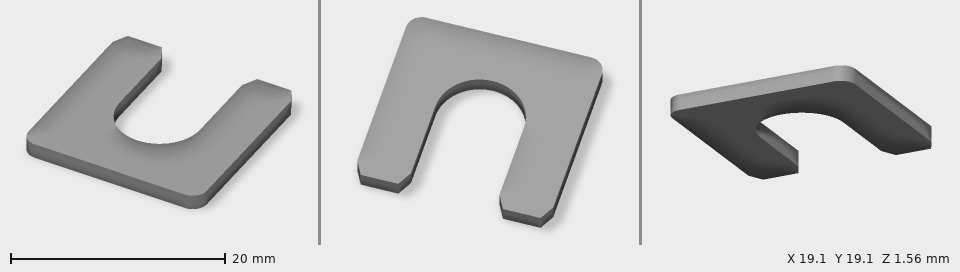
import cadquery as cq

side = 19.05
thickness = 1.56
slot_width = 8.61
corner_radius = 1.5
tip_bevel_width = 0.78
tip_bevel_length = 1.5

half_side = side / 2
slot_radius = slot_width / 2
bevel_start = half_side - tip_bevel_length

plate = (
    cq.Workplane("XY")
    .moveTo(-half_side, -half_side)
    .lineTo(half_side, -half_side)
    .lineTo(half_side, bevel_start)
    .lineTo(half_side - tip_bevel_width, half_side)
    .lineTo(slot_radius + tip_bevel_width, half_side)
    .lineTo(slot_radius, bevel_start)
    .lineTo(slot_radius, 0)
    .threePointArc((0, -slot_radius), (-slot_radius, 0))
    .lineTo(-slot_radius, bevel_start)
    .lineTo(-slot_radius - tip_bevel_width, half_side)
    .lineTo(-half_side + tip_bevel_width, half_side)
    .lineTo(-half_side, bevel_start)
    .close()
    .extrude(thickness)
)

result = plate.edges("|Z").edges("<Y").fillet(corner_radius)